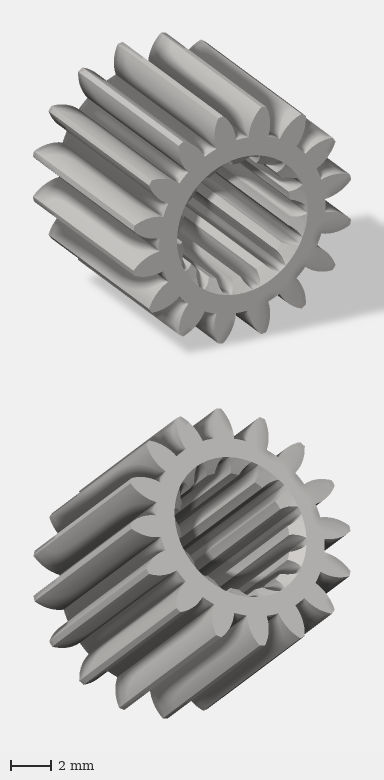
import cadquery as cq
import math

length = 10.16
outer_height = 12.42

outer_teeth = 16
outer_root_radius = 4.75
outer_flank_radius = 5.59
outer_root_half_width = 0.57
outer_flank_half_width = 0.51
outer_tip_half_width = 0.15

first_outer_angle = math.pi / outer_teeth
outer_tip_reach = (
    outer_height / 2 - outer_tip_half_width * math.sin(first_outer_angle)
) / math.cos(first_outer_angle)
outer_tip_radius = math.hypot(outer_tip_reach, outer_tip_half_width)

inner_teeth = 14
inner_root_radius = 3.73
inner_flank_radius = 3.42
inner_tip_radius = 3.12
inner_root_half_width = 0.65
inner_flank_half_width = 0.36
inner_tip_half_width = 0.24

lead_in_depth = inner_root_radius - inner_tip_radius


def point_on_tooth(radius, half_width, side, tooth_angle):
    """Point on a flank; side is -1 or +1, the tooth angle is measured from +Z."""
    angle = tooth_angle + side * math.asin(half_width / radius)
    return (radius * math.sin(angle), radius * math.cos(angle))


def toothed_prism(teeth, first_angle, root, flank, tip):
    """Extruded toothed outline; root, flank and tip are (radius, half width) pairs."""
    pitch = 2 * math.pi / teeth
    start = point_on_tooth(*root, -1, first_angle)
    outline = cq.Workplane("YZ").moveTo(*start)
    for index in range(teeth):
        angle = first_angle + index * pitch
        outline = outline.threePointArc(
            point_on_tooth(*flank, -1, angle), point_on_tooth(*tip, -1, angle)
        )
        outline = outline.threePointArc(
            point_on_tooth(tip[0], 0, 1, angle), point_on_tooth(*tip, 1, angle)
        )
        outline = outline.threePointArc(
            point_on_tooth(*flank, 1, angle), point_on_tooth(*root, 1, angle)
        )
        next_start = start if index == teeth - 1 else point_on_tooth(*root, -1, angle + pitch)
        outline = outline.threePointArc(point_on_tooth(root[0], 0, 1, angle + pitch / 2), next_start)
    return outline.close().extrude(length)


def lead_in_cone(end_x, direction_x):
    """Cone frustum narrowing from the spline root to the spline tip, going into the bore."""
    return cq.Workplane(
        cq.Solid.makeCone(
            inner_root_radius,
            inner_tip_radius,
            lead_in_depth,
            pnt=cq.Vector(end_x, 0, 0),
            dir=cq.Vector(direction_x, 0, 0),
        )
    )


gear = toothed_prism(
    outer_teeth,
    first_outer_angle,
    (outer_root_radius, outer_root_half_width),
    (outer_flank_radius, outer_flank_half_width),
    (outer_tip_radius, outer_tip_half_width),
)
splined_bore = toothed_prism(
    inner_teeth,
    0,
    (inner_root_radius, inner_root_half_width),
    (inner_flank_radius, inner_flank_half_width),
    (inner_tip_radius, inner_tip_half_width),
)

result = gear.cut(splined_bore)
result = result.cut(lead_in_cone(0, 1))
result = result.cut(lead_in_cone(length, -1))